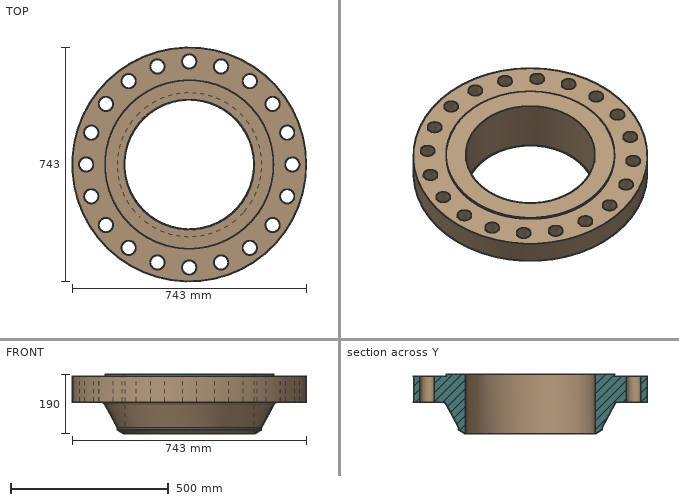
import cadquery as cq
import math

flange_diameter = 743.0
flange_thickness = 83.0

face_diameter = 535.0
face_height = 7.0

total_height = 190.0
hub_top_diameter = 544.0
hub_fillet_radius = 10.0
weld_diameter = 458.0
weld_land_height = 7.0
bevel_height = 13.5
weld_tip_diameter = 414.5

bore_diameter = 410.0
bolt_count = 20
bolt_hole_diameter = 44.5
bolt_circle_diameter = 654.0

face_level = total_height
flange_top = face_level - face_height
flange_bottom = flange_top - flange_thickness
taper_bottom = bevel_height + weld_land_height


def flange_body():
    """Revolve the half section (radius, height) about Z, bore included."""
    hub_radius = hub_top_diameter / 2
    weld_radius = weld_diameter / 2

    taper_angle = math.atan2(hub_radius - weld_radius, flange_bottom - taper_bottom)
    tangent_length = hub_fillet_radius * math.tan((math.pi / 2 - taper_angle) / 2)
    fillet_start = (
        hub_radius - tangent_length * math.sin(taper_angle),
        flange_bottom - tangent_length * math.cos(taper_angle),
    )
    fillet_end = (hub_radius + tangent_length, flange_bottom)

    return (
        cq.Workplane("XZ")
        .moveTo(bore_diameter / 2, 0)
        .lineTo(weld_tip_diameter / 2, 0)
        .lineTo(weld_radius, bevel_height)
        .lineTo(weld_radius, taper_bottom)
        .lineTo(*fillet_start)
        .tangentArcPoint(fillet_end, relative=False)
        .lineTo(flange_diameter / 2, flange_bottom)
        .lineTo(flange_diameter / 2, flange_top)
        .lineTo(face_diameter / 2, flange_top)
        .lineTo(face_diameter / 2, face_level)
        .lineTo(bore_diameter / 2, face_level)
        .close()
        .revolve(360, (0, 0), (0, 1))
    )


def bolt_holes():
    """Ring of cylinders passing through the flange plate, the first on +X."""
    return (
        cq.Workplane("XY", origin=(0, 0, flange_bottom))
        .polarArray(bolt_circle_diameter / 2, 0, 360, bolt_count)
        .circle(bolt_hole_diameter / 2)
        .extrude(flange_thickness)
    )


result = flange_body().cut(bolt_holes())